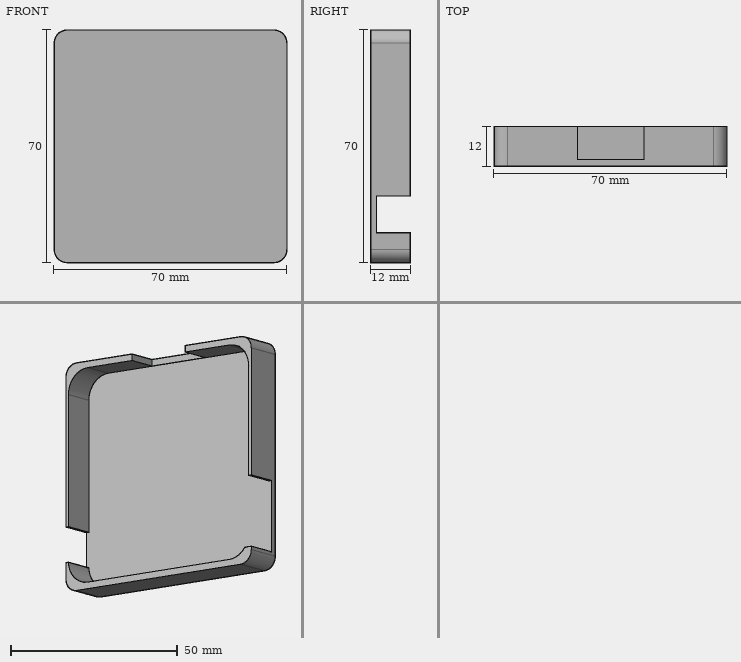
import cadquery as cq

side = 70.0
depth = 12.0
corner_radius = 4.0
wall = 2.0
floor = 1.8
side_wall = 1.0
inner_radius = 7.35

top_notch_width = 20.0
top_notch_floor = 2.1
left_notch_bottom = 5.05
left_notch_top = 26.95
right_notch_bottom = 9.1
right_notch_top = 20.0

half = side / 2


def block(x_range, y_range, z_range):
    """Box spanning the given start and end along each axis."""
    sizes = [end - start for start, end in (x_range, y_range, z_range)]
    corner = (x_range[0], y_range[0], z_range[0])
    return cq.Workplane("XY").box(*sizes, centered=False).translate(corner)


def rounded_block(width, height, radius, start, end):
    """Centered prism along Y with its four long edges rounded."""
    body = block((-width / 2, width / 2), (start, end), (-height / 2, height / 2))
    return body.edges("|Y").fillet(radius)


shell = rounded_block(side, side, corner_radius, 0, depth)
cavity = rounded_block(side - 2 * side_wall, side - 2 * wall, inner_radius, floor, depth)

cut_depth = inner_radius + side_wall
top_notch = block(
    (-top_notch_width / 2, top_notch_width / 2),
    (top_notch_floor, depth),
    (half - wall, half),
)
left_notch = block(
    (-half, -half + cut_depth),
    (floor, depth),
    (left_notch_bottom - half, left_notch_top - half),
)
right_notch = block(
    (half - cut_depth, half),
    (floor, depth),
    (right_notch_bottom - half, right_notch_top - half),
)

result = shell.cut(cavity).cut(top_notch).cut(left_notch).cut(right_notch)